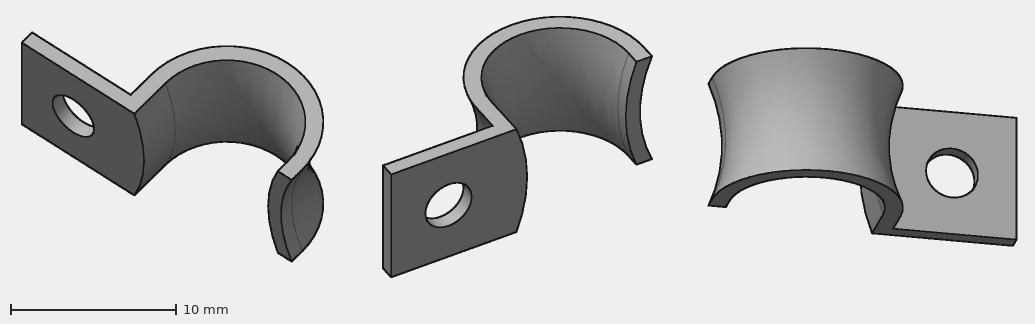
import cadquery as cq
import math

length = 19.33
width = 8.0
thickness = 1.0
waist_radius = 4.0
waist_arc_radius = 11.0
long_leg = 3.0
short_leg = 1.0
hole_diameter = 3.2
hole_edge_distance = 4.0

half_width = width / 2
waist_arc_centre = waist_radius + waist_arc_radius
outer_waist_radius = waist_radius + thickness
outer_arc_radius = waist_arc_radius - thickness


def flared_radius(arc_radius):
    """Distance from the bore axis to a wall surface at the strap edges."""
    return waist_arc_centre - math.sqrt(arc_radius**2 - half_width**2)


inner_rim = flared_radius(waist_arc_radius)
outer_rim = flared_radius(outer_arc_radius)
flange_end = outer_rim - length


def strap_section(side):
    """Curved wall section on the XZ plane; side is -1 for left, 1 for right."""
    return (
        cq.Workplane("XZ")
        .moveTo(side * inner_rim, -half_width)
        .threePointArc((side * waist_radius, 0), (side * inner_rim, half_width))
        .lineTo(side * outer_rim, half_width)
        .threePointArc((side * outer_waist_radius, 0), (side * outer_rim, -half_width))
        .close()
    )


saddle = strap_section(1).revolve(180, (0, 0, 0), (0, 1, 0))

left_leg = strap_section(-1).extrude(long_leg)
right_leg = strap_section(1).extrude(short_leg)

flange = (
    cq.Workplane("XZ", origin=(0, -long_leg + thickness, 0))
    .moveTo(flange_end, -half_width)
    .lineTo(-inner_rim, -half_width)
    .threePointArc((-waist_radius, 0), (-inner_rim, half_width))
    .lineTo(flange_end, half_width)
    .close()
    .extrude(thickness)
)

screw_hole = (
    cq.Workplane("XZ", origin=(0, -long_leg + thickness, 0))
    .center(flange_end + hole_edge_distance, 0)
    .circle(hole_diameter / 2)
    .extrude(thickness)
)

result = saddle.union(left_leg).union(right_leg).union(flange).cut(screw_hole)